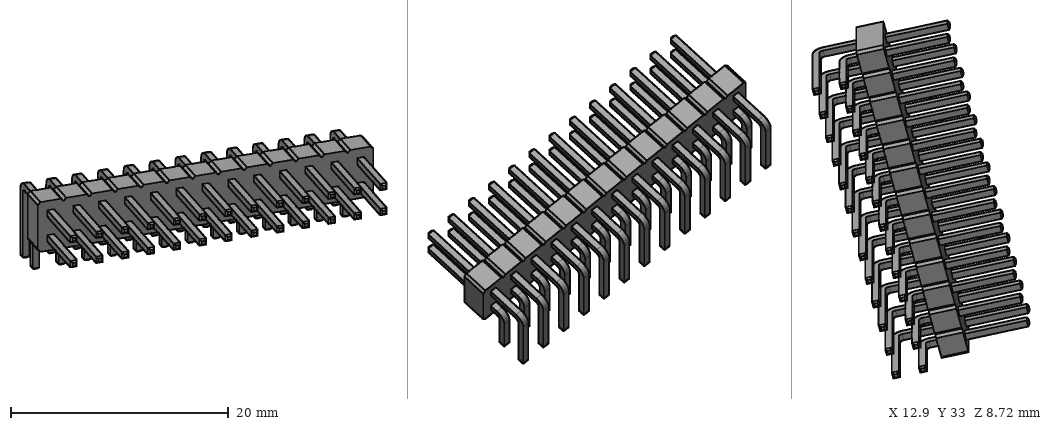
import cadquery as cq


overall_depth = 12.9
overall_length = 33.02
overall_height = 8.72

columns = 13
rows = 2
pitch = overall_length / columns
housing_depth = pitch
housing_height = rows * pitch
cell_chamfer = 0.25

pin_width = 0.65
bend_outer_radius = 1.0
tip_chamfer = 0.15
tail_reach = 4.35

bend_inner_radius = bend_outer_radius - pin_width
mating_tip_x = overall_depth - tail_reach - housing_depth / 2
tail_tip_z = housing_height / 2 - overall_height
rear_tail_x = -housing_depth / 2 - tail_reach + pin_width / 2


def centred_positions(count):
    """Pitch-spaced positions placed evenly about zero."""
    return [(index - (count - 1) / 2) * pitch for index in range(count)]


def make_housing():
    """Strip of full-height cells, chamfered along the X edges that separate them."""
    cell = (
        cq.Workplane("XY")
        .box(housing_depth, pitch, housing_height)
        .edges("|X")
        .chamfer(cell_chamfer)
    )
    housing = cell.translate((0, centred_positions(columns)[0], 0))
    for y in centred_positions(columns)[1:]:
        housing = housing.union(cell.translate((0, y, 0)))
    return housing.clean()


def make_pin(tail_x, mating_z):
    """Square pin at y = 0 with its tail centred on tail_x and its mating leg on mating_z."""
    outer_x = tail_x - pin_width / 2
    inner_x = tail_x + pin_width / 2
    outer_z = mating_z + pin_width / 2
    inner_z = mating_z - pin_width / 2
    bend_end_x = outer_x + bend_outer_radius
    bend_start_z = outer_z - bend_outer_radius
    pin = (
        cq.Workplane("XZ")
        .moveTo(outer_x, tail_tip_z)
        .lineTo(outer_x, bend_start_z)
        .radiusArc((bend_end_x, outer_z), bend_outer_radius)
        .lineTo(mating_tip_x, outer_z)
        .lineTo(mating_tip_x, inner_z)
        .lineTo(bend_end_x, inner_z)
        .radiusArc((inner_x, bend_start_z), -bend_inner_radius)
        .lineTo(inner_x, tail_tip_z)
        .close()
        .extrude(pin_width / 2, both=True)
    )
    return pin.faces(">X or <Z").chamfer(tip_chamfer)


result = make_housing()
for row, row_z in enumerate(reversed(centred_positions(rows))):
    row_pin = make_pin(rear_tail_x + row * pitch, row_z)
    for column_y in centred_positions(columns):
        result = result.union(row_pin.translate((0, column_y, 0)))